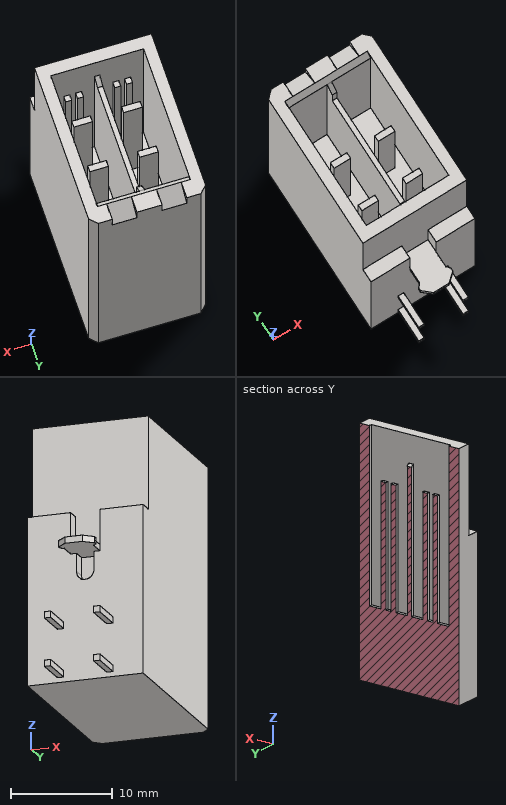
import cadquery as cq

width = 12.15
height = 27.18
depth = 19.68
corner_chamfer = 0.75

pad_step = 1.5
pad_top = 17.5
pad_gap = 3.07

cavity_width = 9.62
cavity_front = 2.85
cavity_back = 17.25
cavity_floor = 8.15
lead_in = 0.63

notch_width = 2.55
notch_centre = 2.58
notch_drop = 1.25

divider_thickness = 0.55
divider_top = 23.45
divider_ramp = 0.95
ramp_shoulder = 25.55
front_ramp_rise = 0.68

column_offset = 2.58
blade_width = 1.93
blade_thickness = 0.68
blade_top = 21.6
blade_rows = (6.0, 11.15)
pin_size = 0.65
pin_length = 3.8
pin_rows = (0.85, 5.87)

rib_width = 0.63
rib_depth = 0.63
rib_top = 21.6
rib_offsets = (1.93, 3.15)

hook_bottom = 13.2
hook_thickness = 0.65
hook_head_width = 3.78
hook_tip_width = 1.82
hook_neck_reach = 1.8
hook_shoulder_reach = 2.15
hook_taper_reach = 2.5
hook_reach = 3.37
slot_width = 1.82
slot_bottom = 10.4


def box(x_centre, x_size, y_min, y_max, z_min, z_max):
    """Axis-aligned block centred on x_centre."""
    block = cq.Workplane("XY").box(x_size, y_max - y_min, z_max - z_min, centered=(True, False, False))
    return block.translate((x_centre, y_min, z_min))


def side_profile(points, x_centre, x_size):
    """Closed (y, z) outline extruded along X, centred on x_centre."""
    plane = cq.Workplane("YZ", origin=(x_centre, 0, 0))
    return plane.polyline(points).close().extrude(x_size / 2, both=True)


def housing():
    body = box(0, width, 0, depth, 0, height)
    body = body.edges("|Z and >Y").chamfer(corner_chamfer)
    body = body.cut(box(0, width, 0, pad_step, pad_top, height))
    hook_top = hook_bottom + hook_thickness
    return body.cut(box(0, pad_gap, 0, pad_step, hook_top, pad_top))


def cavity():
    outline = [
        (cavity_front, cavity_floor),
        (cavity_back, cavity_floor),
        (cavity_back, height - lead_in),
        (cavity_back + lead_in, height),
        (cavity_front, height),
    ]
    return side_profile(outline, 0, cavity_width)


def latch_notch(x_centre):
    outline = [
        (cavity_back + lead_in, height),
        (depth, height - notch_drop),
        (depth, height),
    ]
    return side_profile(outline, x_centre, notch_width)


def divider():
    outline = [
        (cavity_front, cavity_floor),
        (cavity_front, divider_top + front_ramp_rise),
        (cavity_front + divider_ramp, divider_top),
        (cavity_back - divider_ramp, divider_top),
        (cavity_back - divider_ramp, ramp_shoulder),
        (cavity_back, height - lead_in),
        (cavity_back, cavity_floor),
    ]
    return side_profile(outline, 0, divider_thickness)


def blade(x_centre, y_centre):
    half = blade_thickness / 2
    return box(x_centre, blade_width, y_centre - half, y_centre + half, cavity_floor, blade_top)


def solder_pin(x_centre, z_centre):
    half = pin_size / 2
    return box(x_centre, pin_size, -pin_length, 0, z_centre - half, z_centre + half)


def polarising_rib(x_centre):
    return box(x_centre, rib_width, cavity_front, cavity_front + rib_depth, cavity_floor, rib_top)


def relief_slot():
    radius = slot_width / 2
    arc_centre = slot_bottom + radius
    slot = box(0, slot_width, 0, pad_step, arc_centre, hook_bottom)
    rounded_end = cq.Workplane("XZ").center(0, arc_centre).circle(radius).extrude(-pad_step)
    return slot.union(rounded_end)


def retention_hook():
    right_side = [
        (pad_gap / 2, pad_step),
        (pad_gap / 2, -hook_neck_reach),
        (hook_head_width / 2, -hook_shoulder_reach),
        (hook_head_width / 2, -hook_taper_reach),
        (hook_tip_width / 2, -hook_reach),
    ]
    left_side = [(-x, y) for x, y in reversed(right_side)]
    plane = cq.Workplane("XY", origin=(0, 0, hook_bottom))
    return plane.polyline(right_side + left_side).close().extrude(hook_thickness)


result = housing().cut(cavity()).cut(relief_slot())
result = result.union(divider()).union(retention_hook())

for side in (-1, 1):
    result = result.cut(latch_notch(side * notch_centre))
    for row in blade_rows:
        result = result.union(blade(side * column_offset, row))
    for row in pin_rows:
        result = result.union(solder_pin(side * column_offset, row))
    for offset in rib_offsets:
        result = result.union(polarising_rib(side * offset))